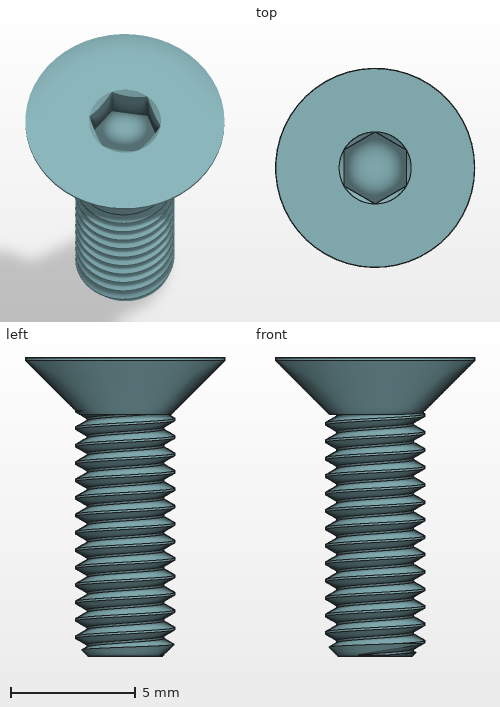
import cadquery as cq
import math

length = 12.0
head_diameter = 8.0
rim_height = 0.12
head_height = 2.28
head_cone_angle = 45.0

major_diameter = 4.0
minor_diameter = 3.1
six_turn_advance = 4.2
pitch = six_turn_advance / 6
flank_angle = 30.0
crest_width = pitch / 8
crest_height_at_x = 0.59
tip_diameter = 2.98
root_overlap = 0.04
envelope_clearance = 0.24
core_overrun = 3 * pitch

socket_across_flats = 2.51
socket_depth = 1.61
socket_chamfer_angle = 45.0

head_radius = head_diameter / 2
major_radius = major_diameter / 2
minor_radius = minor_diameter / 2
tip_radius = tip_diameter / 2
head_base = length - head_height
shank_top = head_base + pitch
rim_base = length - rim_height
neck_radius = head_radius - (rim_base - head_base) * math.tan(math.radians(head_cone_angle))
socket_across_corners = socket_across_flats / math.cos(math.pi / 6)


def make_head():
    """Countersunk cone with a thin cylindrical rim."""
    outline = [
        (0, head_base),
        (neck_radius, head_base),
        (head_radius, rim_base),
        (head_radius, length),
        (0, length),
    ]
    return cq.Workplane("XZ").polyline(outline).close().revolve()


def make_shank_envelope():
    """Space for the threaded shank: a 45 degree tip cone, clear of the crests, ending inside the head."""
    envelope_radius = major_radius + envelope_clearance
    outline = [
        (0, 0),
        (tip_radius, 0),
        (envelope_radius, envelope_radius - tip_radius),
        (envelope_radius, shank_top),
        (0, shank_top),
    ]
    return cq.Workplane("XZ").polyline(outline).close().revolve()


def make_thread_ridge():
    """Right-handed ridge that runs past both ends of the shank."""
    start_height = crest_height_at_x - 2 * pitch
    turns = math.ceil((head_base - start_height) / pitch) + 1
    inner_radius = minor_radius - root_overlap
    half_crest = crest_width / 2
    half_root = half_crest + (major_radius - inner_radius) * math.tan(math.radians(flank_angle))
    profile = [
        (inner_radius, start_height - half_root),
        (major_radius, start_height - half_crest),
        (major_radius, start_height + half_crest),
        (inner_radius, start_height + half_root),
    ]
    helix = cq.Wire.makeHelix(pitch, turns * pitch, minor_radius, center=cq.Vector(0, 0, start_height))
    return cq.Workplane("XZ").polyline(profile).close().sweep(cq.Workplane(obj=helix), isFrenet=True)


def make_shank():
    """Threaded core trimmed to the shank envelope."""
    core = (
        cq.Workplane("XY", origin=(0, 0, -core_overrun))
        .circle(minor_radius)
        .extrude(head_base + 2 * core_overrun)
    )
    return core.union(make_thread_ridge()).intersect(make_shank_envelope())


def make_socket():
    """Hexagonal socket, corners on the Y axis, with a conical lead-in at the corner diameter."""
    corner_radius = socket_across_corners / 2
    lead_in_depth = corner_radius / math.tan(math.radians(socket_chamfer_angle))
    hexagon = (
        cq.Workplane("XY", origin=(0, 0, length - socket_depth))
        .transformed(rotate=(0, 0, 90))
        .polygon(6, socket_across_corners)
        .extrude(socket_depth)
    )
    lead_in = (
        cq.Workplane("XZ")
        .polyline([(0, length - lead_in_depth), (corner_radius, length), (0, length)])
        .close()
        .revolve()
    )
    return hexagon.union(lead_in)


result = make_shank().union(make_head()).cut(make_socket())